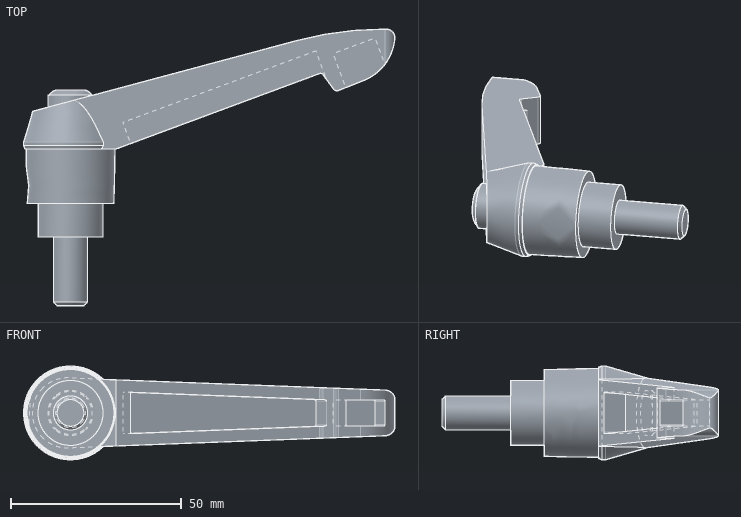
import cadquery as cq
import math


stud_radius = 5.0
stud_end = -29.9
stud_chamfer = 1.1
collar_radius = 19.0 / 2
collar_end = -9.8
skirt_end_radius = 12.7
skirt_middle_radius = 12.9
skirt_top_radius = 13.0
skirt_top = 16.0
band_radius = 27.5 / 2
band_lower_radius = 13.4
band_bottom = 17.0
band_top = 18.0
cone_slope = 0.29
cone_top = 34.8
button_radius = 6.6
button_rim = 31.8
button_top = 33.3
button_dome_radius = 6.3
button_dome_middle = (5.5, 32.6)
button_top_radius = 4.4

lever_top = 51.1
overall_length = 108.8
tip_x = overall_length - band_radius
back_angle = math.radians(15)
back_height_on_axis = 30.0
back_arc_start_x = 66.3
back_arc_start = (back_arc_start_x, back_height_on_axis + back_arc_start_x * math.tan(back_angle))
back_arc_end_x = back_arc_start[0] + (lever_top - back_arc_start[1]) / math.tan(back_angle / 2)
back_arc_radius = (back_arc_end_x - back_arc_start[0]) / math.sin(back_angle)
tip_corner_radius = 2.6
heel = (13.4, skirt_top)
notch_root = (73.5, 38.3)
hook_point = (77.5, 32.7)
hook_arc_start = (84.9, 35.7)
hook_arc_middle = (91.9, 40.6)
hook_arc_end = (tip_x, 48.5)
notch_fillet = 0.9
hook_fillet = 1.3

half_width_on_axis = 10.2
half_width_slope = 0.038
tip_side_radius = 3.2
plan_margin = 0.1

underside_angle = math.atan2(notch_root[1] - heel[1], notch_root[0] - heel[0])
pocket_wall = 3.5
grip_pocket_start = 17.6
grip_pocket_end = 74.9
grip_pocket_depth = 6.6
tip_pocket_start = (80.6, 33.9)
tip_pocket_end = (92.1, 40.6)
tip_pocket_half_width = 3.8
tip_pocket_depth = 10.5
pocket_fillet = 0.4


def half_width(x):
    return half_width_on_axis - half_width_slope * x


def back_height(x):
    return back_height_on_axis + x * math.tan(back_angle)


def cone_radius(y):
    return band_radius - cone_slope * (y - band_top)


def make_hub():
    """Skirt, band and cone, with the cone cut off along the slope of the lever back."""
    hub = (
        cq.Workplane("XY")
        .lineTo(skirt_end_radius, 0)
        .threePointArc((skirt_middle_radius, skirt_top / 2), (skirt_top_radius, skirt_top))
        .polyline([
            (band_lower_radius, skirt_top),
            (band_radius, band_bottom),
            (band_radius, band_top),
            (cone_radius(cone_top), cone_top),
            (0, cone_top),
        ], includeCurrent=True)
        .close()
        .revolve(360, (0, 0, 0), (0, 1, 0))
    )
    reach = 2 * band_radius
    above_back = (
        cq.Workplane("XY")
        .polyline([
            (-reach, back_height(-reach)),
            (reach, back_height(reach)),
            (reach, 2 * lever_top),
            (-reach, 2 * lever_top),
        ])
        .close()
        .extrude(reach, both=True)
    )
    return hub.cut(above_back)


def make_clamp_stack():
    """Stud, collar and domed push button, revolved about the clamp axis."""
    return (
        cq.Workplane("XY")
        .moveTo(0, stud_end)
        .lineTo(stud_radius - stud_chamfer, stud_end)
        .lineTo(stud_radius, stud_end + stud_chamfer)
        .lineTo(stud_radius, collar_end)
        .lineTo(collar_radius, collar_end)
        .lineTo(collar_radius, 0)
        .lineTo(button_radius, 0)
        .lineTo(button_radius, button_rim)
        .lineTo(button_dome_radius, button_rim)
        .threePointArc(button_dome_middle, (button_top_radius, button_top))
        .lineTo(0, button_top)
        .close()
        .revolve(360, (0, 0, 0), (0, 1, 0))
    )


def make_lever_profile():
    half_turn = back_angle / 2
    arc_middle = (
        back_arc_end_x - back_arc_radius * math.sin(half_turn),
        lever_top - back_arc_radius * (1 - math.cos(half_turn)),
    )
    corner_start = (tip_x - tip_corner_radius, lever_top)
    corner_middle = (
        tip_x - tip_corner_radius * (1 - math.sqrt(0.5)),
        lever_top - tip_corner_radius * (1 - math.sqrt(0.5)),
    )
    return (
        cq.Workplane("XY")
        .moveTo(0, skirt_top)
        .lineTo(*heel)
        .lineTo(*notch_root)
        .lineTo(*hook_point)
        .lineTo(*hook_arc_start)
        .threePointArc(hook_arc_middle, hook_arc_end)
        .threePointArc(corner_middle, corner_start)
        .lineTo(back_arc_end_x, lever_top)
        .threePointArc(arc_middle, back_arc_start)
        .lineTo(0, back_height(0))
        .close()
        .extrude(band_radius, both=True)
    )


def make_lever():
    """Side profile narrowed towards a tip with rounded sides."""
    lever = make_lever_profile()
    for corner, radius in ((notch_root, notch_fillet), (hook_point, hook_fillet)):
        lever = lever.edges(cq.selectors.NearestToPointSelector((*corner, 0))).fillet(radius)
    plan_end = tip_x + plan_margin
    plan = (
        cq.Workplane("XZ")
        .polyline([
            (0, -half_width(0)),
            (plan_end, -half_width(plan_end)),
            (plan_end, half_width(plan_end)),
            (0, half_width(0)),
        ])
        .close()
        .extrude(-2 * lever_top)
        .edges("|Y and >X")
        .fillet(tip_side_radius)
    )
    return lever.intersect(plan)


def make_pocket(start, end, start_half, end_half, datum, depth):
    """Cutter square to the underside; start and end are its rim points.

    The floor lies at the given depth above a plane through datum parallel to the underside.
    """
    along = (math.cos(underside_angle), math.sin(underside_angle), 0)
    inward = (-along[1], along[0], 0)
    plane = cq.Plane(origin=(*datum, 0), xDir=along, normal=inward)
    first, last = [
        (x - datum[0]) * along[0] + (y - datum[1]) * along[1]
        for x, y in (start, end)
    ]
    return (
        cq.Workplane(plane)
        .workplane(offset=-depth)
        .polyline([(first, -start_half), (last, -end_half), (last, end_half), (first, start_half)])
        .close()
        .extrude(2 * depth)
        .edges("|(%f, %f, 0)" % inward[:2])
        .fillet(pocket_fillet)
    )


def underside_height(x):
    return heel[1] + (x - heel[0]) * math.tan(underside_angle)


def notch_face_height(x):
    fraction = (x - notch_root[0]) / (hook_point[0] - notch_root[0])
    return notch_root[1] + fraction * (hook_point[1] - notch_root[1])


grip_pocket = make_pocket(
    (grip_pocket_start, underside_height(grip_pocket_start)),
    (grip_pocket_end, notch_face_height(grip_pocket_end)),
    half_width(grip_pocket_start) - pocket_wall,
    half_width(grip_pocket_end) - pocket_wall,
    heel,
    grip_pocket_depth,
)
tip_pocket = make_pocket(
    tip_pocket_start,
    tip_pocket_end,
    tip_pocket_half_width,
    tip_pocket_half_width,
    hook_arc_start,
    tip_pocket_depth,
)

lever = make_lever().cut(grip_pocket).cut(tip_pocket)
result = make_hub().union(make_clamp_stack()).union(lever)